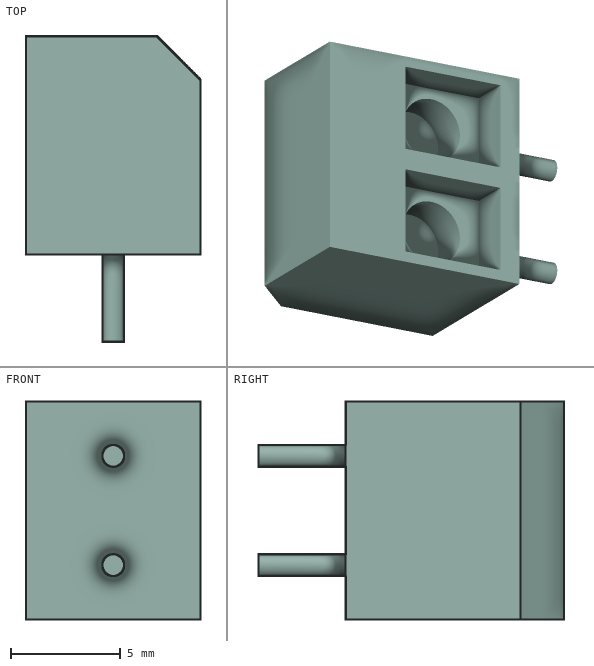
import cadquery as cq

body_width = 8.0
body_depth = 10.0
pole_count = 2
pitch = 5.0
body_height = pole_count * pitch
corner_chamfer = 2.0

pin_diameter = 1.0
pin_length = 4.0

pocket_length = 5.0
pocket_height = 4.0
pocket_depth = 2.0
pocket_front_wall = 1.0
wire_hole_diameter = 3.0
wire_hole_depth = 2.0

entry_face_x = -body_width / 2
pocket_floor_x = entry_face_x + pocket_depth
pocket_center_y = pocket_front_wall + pocket_length / 2
pole_heights = [(pole + 0.5) * pitch for pole in range(pole_count)]


def make_housing():
    """Box with its rear vertical edge on the +X side chamfered."""
    box = cq.Workplane("XY").box(
        body_width, body_depth, body_height, centered=(True, False, False)
    )
    return box.edges("|Z and >X and >Y").chamfer(corner_chamfer)


def make_pin(z):
    """Round pin standing out of the front face toward -Y."""
    front_plane = cq.Workplane("XZ")
    return front_plane.center(0, z).circle(pin_diameter / 2).extrude(pin_length)


def make_wire_entry(z):
    """Rectangular pocket with a round blind hole in its floor."""
    pocket = (
        cq.Workplane("YZ", origin=(entry_face_x, pocket_center_y, z))
        .rect(pocket_length, pocket_height)
        .extrude(pocket_depth)
    )
    wire_hole = (
        cq.Workplane("YZ", origin=(pocket_floor_x, pocket_center_y, z))
        .circle(wire_hole_diameter / 2)
        .extrude(wire_hole_depth)
    )
    return pocket.union(wire_hole)


result = make_housing()
for pole_z in pole_heights:
    result = result.union(make_pin(pole_z))
    result = result.cut(make_wire_entry(pole_z))